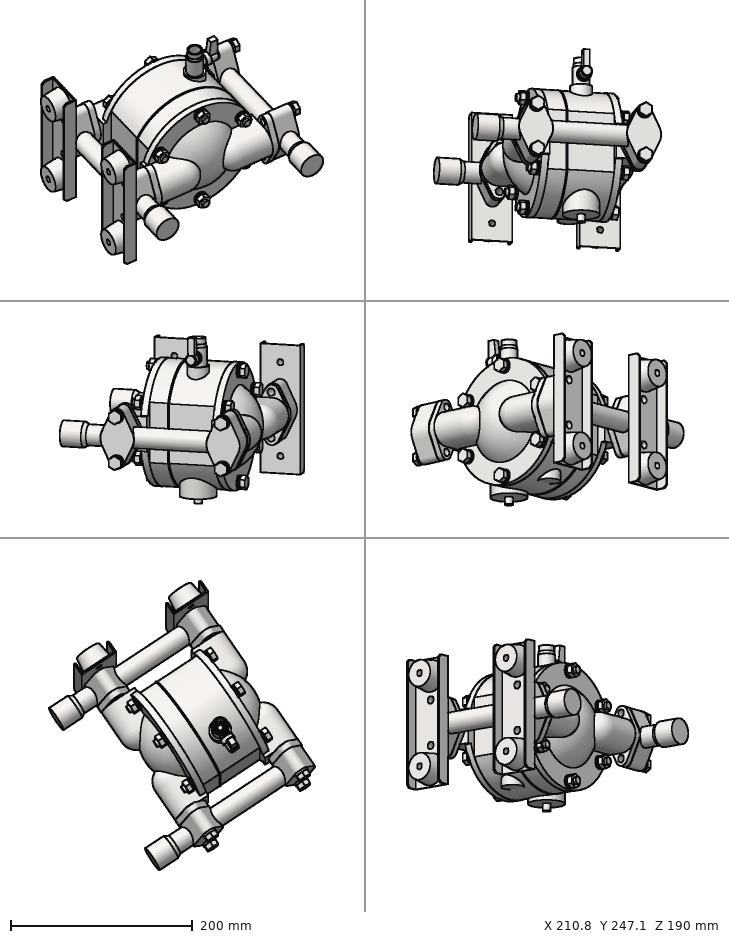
import cadquery as cq
import math

SIDES = (-1, 1)

drum_radius = 70.7
cover_radius = 71.0
drum_flat = 62.3
seam_x = 14.8
seam_width = 1.5
seam_radius = 71.2
seam_flat = 63.3
flange_radius = 71.2
flange_inner_x = 37.5
flange_outer_x = 45.7

dome_radius = 46.0
dome_tip_x = 72.0

elbow_x = 61.8
elbow_radius = 19.5
elbow_bend_y = 32.9
elbow_end_y = 73.0

manifold_x = 61.0
manifold_end_y = 108.2
plate_thickness = 8.2
plate_radius = 19.8
body_radius = 19.3
lobe_radius = 8.2
lobe_z = 25.7
bolt_hole_radius = 4.2

pipe_y = 95.0
pipe_radius = 11.9
coupling_radius = 14.5
coupling_start_x = 102.3
coupling_taper = 5.0
pipe_end_x = 126.8

hex_flats = 13.8
hex_corners = hex_flats / math.cos(math.pi / 6)
hex_height = 6.2
washer_radius = 7.7
washer_thickness = 1.7
spring_washer_radius = 7.2
spring_washer_thickness = 1.7
stud_radius = 4.2
stud_length = 3.5
flange_bolt_circle = 62.5
flange_bolt_count = 6
manifold_washer_thickness = 2.7

channel_width = 46.0
channel_length = 144.8
channel_depth = 15.5
channel_wall = 2.0
channel_chamfer = 3.5
foot_z = 52.6
foot_tip_y = -130.0
foot_base_radius = 18.0
foot_tip_radius = 15.0
foot_hole_radius = 3.5

valve_x = -8.2
valve_y = 28.2
valve_boss_radius = 12.4
valve_boss_top = 71.5
valve_steps = ((9.6, 93.0), (9.0, 96.5), (8.5, 102.8))
valve_top = valve_steps[-1][1]
valve_bore_radius = 6.7
valve_bore_depth = 14.8
valve_seat_radius = 4.7
valve_seat_floor_radius = 3.0
valve_seat_depth = 2.5

spindle_z = 82.3
spindle_steps = ((6.0, 39.8), (7.7, 46.2), (6.2, 55.8), (5.5, 57.5))
lever_width = 7.2
lever_top = 107.0
lever_outer_y = 55.8
lever_top_inner_y = 47.2
lever_foot_inner_y = 44.2

exhaust_radius = 20.5
exhaust_bottom = -74.9
drain_radius = 4.5
drain_bottom = -83.0
side_port_radius = 12.8
side_port_y = -31.6
side_port_bottom = -66.5


def cylinder_x(radius, x_start, x_end, y=0, z=0):
    return cq.Workplane("YZ", origin=(x_start, y, z)).circle(radius).extrude(x_end - x_start)


def cylinder_y(radius, y_start, y_end, x=0, z=0):
    return cq.Workplane("XZ", origin=(x, y_start, z)).circle(radius).extrude(y_start - y_end)


def cylinder_z(radius, z_start, z_end, x=0, y=0):
    return cq.Workplane("XY", origin=(x, y, z_start)).circle(radius).extrude(z_end - z_start)


def flattened_drum(radius, flat, x_start, x_end):
    """Cylinder along X with flat faces at y = -flat and y = +flat."""
    slab = cq.Workplane("XY").box(4 * radius, 2 * flat, 4 * radius)
    return cylinder_x(radius, x_start, x_end).intersect(slab)


def dome(side):
    """Spherical cap on the outer face of a flange."""
    height = dome_tip_x - flange_outer_x
    sphere_radius = (dome_radius**2 + height**2) / (2 * height)
    half_angle = math.asin(dome_radius / sphere_radius) / 2
    arc_x = dome_tip_x - sphere_radius * (1 - math.cos(half_angle))
    arc_y = sphere_radius * math.sin(half_angle)
    return (
        cq.Workplane("XY")
        .moveTo(side * flange_inner_x, 0)
        .lineTo(side * flange_inner_x, dome_radius)
        .lineTo(side * flange_outer_x, dome_radius)
        .threePointArc((side * arc_x, arc_y), (side * dome_tip_x, 0))
        .close()
        .revolve(360, (0, 0, 0), (1, 0, 0))
    )


def elbow(side, end):
    """Round pipe along Y with a ball end, joined to its flange by a web of the same thickness."""
    x, bend_y, end_y = side * elbow_x, end * elbow_bend_y, end * elbow_end_y
    root_x = side * flange_inner_x
    arc_offset = elbow_radius * math.sqrt(0.5)
    pipe = (
        cq.Workplane("XY", origin=(x, 0, 0))
        .moveTo(0, end_y)
        .lineTo(elbow_radius, end_y)
        .lineTo(elbow_radius, bend_y)
        .threePointArc((arc_offset, bend_y - end * arc_offset), (0, bend_y - end * elbow_radius))
        .close()
        .revolve(360, (0, 0, 0), (0, 1, 0))
    )
    bend = cylinder_x(elbow_radius, root_x, x, bend_y)
    web = cq.Workplane("XY", origin=((x + root_x) / 2, (bend_y + end_y) / 2, 0)).box(
        elbow_x - flange_inner_x, elbow_end_y - elbow_bend_y, 2 * elbow_radius
    )
    return pipe.union(bend).union(web)


def lobed_block(radius, y_start, y_end, x):
    """Round core with a bolt lobe above and below, wrapped by tangent faces."""
    sine = (radius - lobe_radius) / lobe_z
    cosine = math.sqrt(1 - sine**2)
    core_x, core_z = radius * cosine, radius * sine
    tip_x, tip_z = lobe_radius * cosine, lobe_z + lobe_radius * sine
    tip_top = lobe_z + lobe_radius
    return (
        cq.Workplane("XZ", origin=(x, y_start, 0))
        .moveTo(core_x, -core_z)
        .threePointArc((radius, 0), (core_x, core_z))
        .lineTo(tip_x, tip_z)
        .threePointArc((0, tip_top), (-tip_x, tip_z))
        .lineTo(-core_x, core_z)
        .threePointArc((-radius, 0), (-core_x, -core_z))
        .lineTo(-tip_x, -tip_z)
        .threePointArc((0, -tip_top), (tip_x, -tip_z))
        .close()
        .extrude(y_start - y_end)
    )


def manifold(side, end):
    """Plate on the elbow, a slightly slimmer body, and bolt holes right through both."""
    plate_x = side * elbow_x
    body_x = side * manifold_x
    plate_end_y = elbow_end_y + plate_thickness
    plate = lobed_block(plate_radius, end * elbow_end_y, end * plate_end_y, plate_x)
    body = lobed_block(body_radius, end * plate_end_y, end * manifold_end_y, body_x)
    block = plate.union(body)
    for z in (-lobe_z, lobe_z):
        hole = cylinder_y(bolt_hole_radius, end * elbow_end_y, end * manifold_end_y, body_x, z)
        block = block.cut(hole)
    return block


def manifold_bolts(side):
    """Two bolt heads with washers on the +Y end of a manifold."""
    x = side * manifold_x
    head_y = manifold_end_y + manifold_washer_thickness
    bolts = cq.Workplane("XY")
    for z in (-lobe_z, lobe_z):
        washer = cylinder_y(washer_radius, manifold_end_y, head_y, x, z)
        hexagon = (
            cq.Workplane("XZ", origin=(x, head_y, z))
            .transformed(rotate=(0, 0, 90))
            .polygon(6, hex_corners)
            .extrude(-hex_height)
        )
        bolts = bolts.union(washer).union(hexagon)
    return bolts


def cross_pipe(end):
    """Pipe through both manifolds of one end, with a coupling at +X."""
    y = end * pipe_y
    profile = (
        cq.Workplane("XY", origin=(0, y, 0))
        .moveTo(-manifold_x, 0)
        .lineTo(-manifold_x, pipe_radius)
        .lineTo(coupling_start_x - coupling_taper, pipe_radius)
        .lineTo(coupling_start_x, coupling_radius)
        .lineTo(pipe_end_x, coupling_radius)
        .lineTo(pipe_end_x, 0)
        .close()
    )
    return profile.revolve(360, (0, 0, 0), (1, 0, 0))


def flange_fastener(side, angle):
    """Two washers and a hexagon on a flange; the +X side also has the bolt end."""
    y = flange_bolt_circle * math.cos(angle)
    z = flange_bolt_circle * math.sin(angle)
    spring_x = flange_outer_x + washer_thickness
    hex_x = spring_x + spring_washer_thickness
    hex_end_x = hex_x + hex_height
    washer = cylinder_x(washer_radius, side * flange_outer_x, side * spring_x, y, z)
    spring_washer = cylinder_x(spring_washer_radius, side * spring_x, side * hex_x, y, z)
    hexagon = (
        cq.Workplane("YZ", origin=(side * hex_x, y, z))
        .transformed(rotate=(0, 0, 90))
        .polygon(6, hex_corners)
        .extrude(side * hex_height)
    )
    fastener = washer.union(spring_washer).union(hexagon)
    if side > 0:
        fastener = fastener.union(cylinder_x(stud_radius, hex_end_x, hex_end_x + stud_length, y, z))
    return fastener


def mounting_channel(side):
    """U-channel open towards -Y, with chamfered legs, two tapered feet and holes for the bolts."""
    x = side * manifold_x
    web_y = -manifold_end_y
    leg_y = web_y - channel_depth
    channel = (
        cq.Workplane("XY", origin=(x, (web_y + leg_y) / 2, 0))
        .box(channel_width, channel_depth, channel_length)
        .edges("|X and <Y")
        .chamfer(channel_chamfer)
    )
    inside = cq.Workplane("XY", origin=(x, (web_y + leg_y) / 2 - channel_wall, 0)).box(
        channel_width - 2 * channel_wall, channel_depth, channel_length
    )
    channel = channel.cut(inside)
    for z in (-foot_z, foot_z):
        base_y = web_y - channel_wall
        foot = (
            cq.Workplane("XZ", origin=(x, base_y, z))
            .circle(foot_base_radius)
            .workplane(offset=base_y - foot_tip_y)
            .circle(foot_tip_radius)
            .loft()
        )
        channel = channel.union(foot).cut(cylinder_y(foot_hole_radius, web_y, foot_tip_y, x, z))
    for z in (-lobe_z, lobe_z):
        channel = channel.cut(cylinder_y(bolt_hole_radius, web_y, web_y - channel_wall, x, z))
    return channel


def air_valve():
    """Stepped outlet with a bore and conical seat, and a cross spindle carrying the lever."""
    valve = cylinder_z(valve_boss_radius, 0, valve_boss_top, valve_x, valve_y)
    for radius, top in valve_steps:
        valve = valve.union(cylinder_z(radius, 0, top, valve_x, valve_y))
    start_y = valve_y
    for radius, end_y in spindle_steps:
        valve = valve.union(cylinder_y(radius, start_y, end_y, valve_x, spindle_z))
        start_y = end_y
    lever = (
        cq.Workplane("YZ", origin=(valve_x, 0, 0))
        .moveTo(lever_outer_y, spindle_z)
        .lineTo(lever_outer_y, lever_top)
        .lineTo(lever_top_inner_y, lever_top)
        .lineTo(lever_foot_inner_y, spindle_z)
        .close()
        .extrude(lever_width / 2, both=True)
    )
    bore_floor = valve_top - valve_bore_depth
    bore = cylinder_z(valve_bore_radius, bore_floor, valve_top, valve_x, valve_y)
    seat = (
        cq.Workplane("XY", origin=(valve_x, valve_y, bore_floor))
        .circle(valve_seat_radius)
        .workplane(offset=-valve_seat_depth)
        .circle(valve_seat_floor_radius)
        .loft()
    )
    return valve.union(lever).cut(bore).cut(seat)


def bottom_ports():
    """Exhaust with its drain stub, and a side port, all reaching down from inside the drum."""
    exhaust = cylinder_z(exhaust_radius, 0, exhaust_bottom, valve_x, valve_y)
    drain = cylinder_z(drain_radius, 0, drain_bottom, valve_x, valve_y)
    side_port = cylinder_z(side_port_radius, 0, side_port_bottom, valve_x, side_port_y)
    return exhaust.union(drain).union(side_port)


pump = flattened_drum(drum_radius, drum_flat, -flange_inner_x, seam_x + seam_width)
pump = pump.union(flattened_drum(cover_radius, drum_flat, seam_x, flange_inner_x))
pump = pump.union(flattened_drum(seam_radius, seam_flat, seam_x, seam_x + seam_width))
pump = pump.union(air_valve()).union(bottom_ports())

for side in SIDES:
    pump = pump.union(cylinder_x(flange_radius, side * flange_inner_x, side * flange_outer_x))
    pump = pump.union(dome(side))
    for index in range(flange_bolt_count):
        pump = pump.union(flange_fastener(side, math.pi / 2 + index * 2 * math.pi / flange_bolt_count))

for end in SIDES:
    for side in SIDES:
        pump = pump.union(elbow(side, end)).union(manifold(side, end))
    pump = pump.union(cross_pipe(end))

for side in SIDES:
    pump = pump.union(manifold_bolts(side))
    pump = pump.union(mounting_channel(side))

result = pump